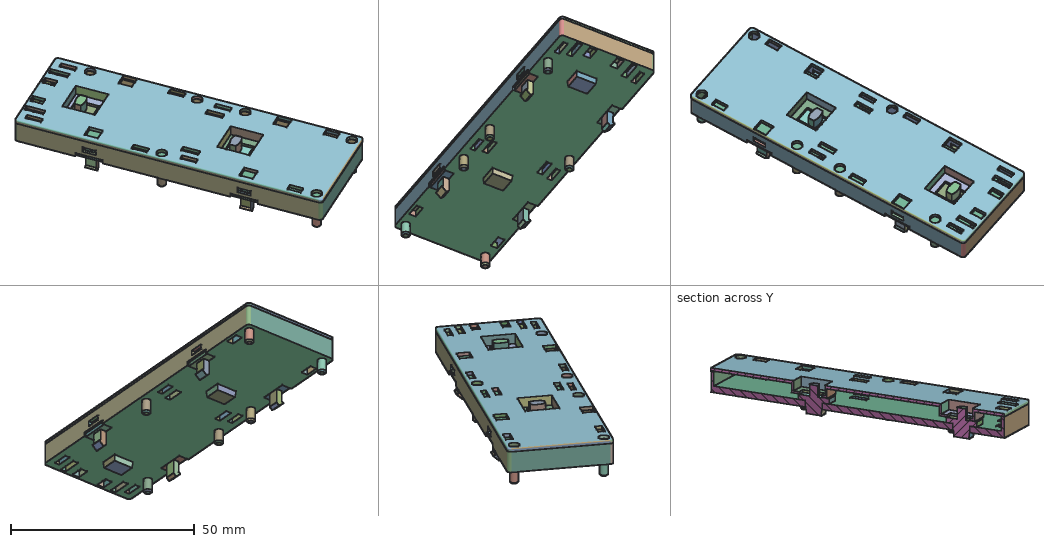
import cadquery as cq

LENGTH = 90.6
WIDTH = 29.6
OVERALL_HEIGHT = 12.1
HEIGHT = 7.1
CORNER_RADIUS = 1.0
WALL = 1.0
LID_THICKNESS = 1.0
LID_EDGE_FILLET = 0.3
FLOOR_THICKNESS = 2.0
BASE_HEIGHT = HEIGHT - LID_THICKNESS
LID_OVERHANG = 0.1
BASE_LENGTH = LENGTH - LID_OVERHANG
BASE_X = -LID_OVERHANG / 2
INNER_LENGTH = BASE_LENGTH - 2 * WALL
INNER_WIDTH = WIDTH - 2 * WALL
SIDES = (-1, 1)

STATION_PITCH = 45.6
STATIONS = (0, STATION_PITCH)
MECHANISM_Y = 0.5

EDGE_SLOT_LENGTH = 4.6
EDGE_SLOT_WIDTH = 1.45
EDGE_SLOT_X = -40.6
EDGE_SLOT_Y = 12.05
INNER_SLOT_WIDTH = 1.6
INNER_SLOT_Y = 8.6
INNER_SLOT_END_X = -39.05
END_INNER_SLOT_LENGTH = 5.5
MIDDLE_INNER_SLOT_LENGTH = 5.0
END_SLOT_LENGTH = 3.6
END_SLOT_WIDTH = 2.2
END_SLOT_X = -42.8
END_SLOT_Y = 4.3
CORNER_SLOT_LENGTH = 4.0
CORNER_SLOT_WIDTH = 2.0
CORNER_SLOT_X = 36.6
BLIND_SLOT_LENGTH = 4.5
BLIND_SLOT_WIDTH = 1.7
BLIND_SLOT_X = -9.0

PIN_DIAMETER = 2.45
PIN_LENGTH = 4.1
PIN_CHAMFER = 0.45
PIN_HOLE_DIAMETER = 3.0
PIN_Y = 12.5
STATION_PIN_X = -34.25
PAIRED_PIN_X = -2.8

CLIP_X = -23.3
CLIP_WIDTH = 3.1
CLIP_FOOT_LENGTH = 8.1
CLIP_FOOT_HEIGHT = 1.2
CLIP_FOOT_DEPTH = 0.5
CLIP_OUTER_DEPTH = 1.4
CLIP_INNER_DEPTH = 3.2
HOOK_TIP_DEPTH = 0.8
HOOK_APEX_DEPTH = 2.4
HOOK_TOP_Z = -3.3
HOOK_TIP_Z = -3.7
HOOK_APEX_Z = HEIGHT - OVERALL_HEIGHT
WINDOW_LENGTH = 4.0
WINDOW_BOTTOM = 2.3
WINDOW_HEIGHT = 1.5
ACCESS_LENGTH = 4.0
ACCESS_WIDTH = 3.6
ACCESS_Y = 12.05

WELL_X = -30.7
WELL_SIZE = 9.6
WELL_DEPTH = 2.9
WELL_WALL = 0.7
WELL_SLOT_X = -31.1
WELL_SLOT_LENGTH = 6.7
WELL_SLOT_WIDTH = 4.9
WELL_FLOOR_Z = HEIGHT - WELL_DEPTH
WELL_BOTTOM_Z = WELL_FLOOR_Z - WELL_WALL

SLIDER_X = -32.1
KNOB_WIDTH = 4.3
KNOB_END_LENGTH = 1.8
KNOB_LENGTH = 2.8
KNOB_TOP_Z = 6.7
FLANGE_LENGTH = 9.6
FLANGE_WIDTH = 8.0
GRIP_LENGTH = 5.1
GRIP_WIDTH = 6.3
GRIP_DROP = 1.8
GRIP_TAPER = 6.0


def block(x, y, z_bottom, length, width, height):
    """Box centred on (x, y) that stands on z_bottom."""
    return cq.Workplane("XY").box(length, width, height, (True, True, False)).translate((x, y, z_bottom))


def cylinders(points, z_bottom, diameter, height):
    return cq.Workplane("XY", origin=(0, 0, z_bottom)).pushPoints(points).circle(diameter / 2).extrude(height)


def pin_points():
    """One pin per station at +Y, and a pair of pins at the far end of each station."""
    points = []
    for station in STATIONS:
        points.append((station + STATION_PIN_X, PIN_Y))
        points += [(station + PAIRED_PIN_X, side * PIN_Y) for side in SIDES]
    return points


def slots(z_bottom, height):
    """Cutters for the slots that pass through both the lid and the base floor."""
    corner_slot_y = (INNER_WIDTH - CORNER_SLOT_WIDTH) / 2
    end_inner_x = INNER_SLOT_END_X - END_INNER_SLOT_LENGTH / 2
    middle_inner_x = INNER_SLOT_END_X + STATION_PITCH - MIDDLE_INNER_SLOT_LENGTH / 2
    plan = [
        (EDGE_SLOT_X, EDGE_SLOT_Y, EDGE_SLOT_LENGTH, EDGE_SLOT_WIDTH),
        (EDGE_SLOT_X + STATION_PITCH, EDGE_SLOT_Y, EDGE_SLOT_LENGTH, EDGE_SLOT_WIDTH),
        (end_inner_x, INNER_SLOT_Y, END_INNER_SLOT_LENGTH, INNER_SLOT_WIDTH),
        (middle_inner_x, INNER_SLOT_Y, MIDDLE_INNER_SLOT_LENGTH, INNER_SLOT_WIDTH),
        (END_SLOT_X, END_SLOT_Y, END_SLOT_LENGTH, END_SLOT_WIDTH),
        (CORNER_SLOT_X, corner_slot_y, CORNER_SLOT_LENGTH, CORNER_SLOT_WIDTH),
    ]
    cutters = cq.Workplane("XY")
    for x, y, length, width in plan:
        for side in SIDES:
            cutters = cutters.add(block(x, side * y, z_bottom, length, width, height))
    return cutters.combine()


def make_lid():
    lid = block(0, 0, BASE_HEIGHT, LENGTH, WIDTH, LID_THICKNESS)
    lid = lid.edges("|Z").fillet(CORNER_RADIUS).faces(">Z").edges().fillet(LID_EDGE_FILLET)
    lid = lid.cut(slots(BASE_HEIGHT, LID_THICKNESS))
    lid = lid.cut(cylinders(pin_points(), BASE_HEIGHT, PIN_HOLE_DIAMETER, LID_THICKNESS))

    for side in SIDES:
        blind_y = side * (INNER_WIDTH - BLIND_SLOT_WIDTH) / 2
        lid = lid.cut(
            block(BLIND_SLOT_X, blind_y, BASE_HEIGHT, BLIND_SLOT_LENGTH, BLIND_SLOT_WIDTH, LID_THICKNESS)
        )
        for station in STATIONS:
            access_y = MECHANISM_Y + side * ACCESS_Y
            lid = lid.cut(
                block(station + CLIP_X, access_y, BASE_HEIGHT, ACCESS_LENGTH, ACCESS_WIDTH, LID_THICKNESS)
            )

    outer_size = WELL_SIZE + 2 * WELL_WALL
    for station in STATIONS:
        well_x = station + WELL_X
        slot_x = station + WELL_SLOT_X
        lid = lid.union(
            block(well_x, MECHANISM_Y, WELL_BOTTOM_Z, outer_size, outer_size, BASE_HEIGHT - WELL_BOTTOM_Z)
        )
        lid = lid.cut(block(well_x, MECHANISM_Y, WELL_FLOOR_Z, WELL_SIZE, WELL_SIZE, WELL_DEPTH))
        lid = lid.cut(
            block(slot_x, MECHANISM_Y, WELL_BOTTOM_Z, WELL_SLOT_LENGTH, WELL_SLOT_WIDTH, WELL_WALL)
        )
    return lid


def make_base():
    base = block(BASE_X, 0, 0, BASE_LENGTH, WIDTH, BASE_HEIGHT).edges("|Z").fillet(CORNER_RADIUS)
    cavity = block(BASE_X, 0, FLOOR_THICKNESS, INNER_LENGTH, INNER_WIDTH, BASE_HEIGHT - FLOOR_THICKNESS)
    base = base.cut(cavity)
    base = base.cut(slots(0, FLOOR_THICKNESS))

    pins = cylinders(pin_points(), -PIN_LENGTH, PIN_DIAMETER, PIN_LENGTH)
    base = base.union(pins.faces("<Z").chamfer(PIN_CHAMFER))

    for station in STATIONS:
        clip_x = station + CLIP_X
        base = base.cut(block(clip_x, 0, WINDOW_BOTTOM, WINDOW_LENGTH, WIDTH, WINDOW_HEIGHT))
        for side in SIDES:
            notch_y = side * (WIDTH - CLIP_INNER_DEPTH) / 2
            base = base.cut(block(clip_x, notch_y, 0, CLIP_FOOT_LENGTH, CLIP_INNER_DEPTH, CLIP_FOOT_HEIGHT))
        base = base.cut(
            block(station + SLIDER_X, MECHANISM_Y, 0, GRIP_LENGTH, GRIP_WIDTH, FLOOR_THICKNESS)
        )
    return base


def make_clip(x, side):
    """Foot that fills the notch in the base, with a hooked leg below it that faces outwards."""
    outer_y = -WIDTH / 2
    foot_depth = CLIP_INNER_DEPTH - CLIP_FOOT_DEPTH
    foot_y = outer_y + (CLIP_FOOT_DEPTH + CLIP_INNER_DEPTH) / 2
    foot = block(0, foot_y, 0, CLIP_FOOT_LENGTH, foot_depth, CLIP_FOOT_HEIGHT)

    inner_z = HOOK_APEX_Z + CLIP_INNER_DEPTH - HOOK_APEX_DEPTH
    leg_outline = [
        (outer_y + CLIP_INNER_DEPTH, 0),
        (outer_y + CLIP_OUTER_DEPTH, 0),
        (outer_y + CLIP_OUTER_DEPTH, HOOK_TOP_Z),
        (outer_y + HOOK_TIP_DEPTH, HOOK_TIP_Z),
        (outer_y + HOOK_APEX_DEPTH, HOOK_APEX_Z),
        (outer_y + CLIP_INNER_DEPTH, inner_z),
    ]
    leg = cq.Workplane("YZ").polyline(leg_outline).close().extrude(CLIP_WIDTH / 2, both=True)
    clip = foot.union(leg)
    if side > 0:
        clip = clip.mirror("XZ")
    return clip.translate((x, 0, 0))


def make_slider(x):
    """Knob with bowed sides, a flange under the well and a tapered grip through the base."""
    half_width = KNOB_WIDTH / 2
    half_end = KNOB_END_LENGTH / 2
    bow = KNOB_LENGTH / 2
    knob = (
        cq.Workplane("XY", origin=(0, 0, FLOOR_THICKNESS))
        .moveTo(-half_end, half_width)
        .lineTo(half_end, half_width)
        .threePointArc((bow, 0), (half_end, -half_width))
        .lineTo(-half_end, -half_width)
        .threePointArc((-bow, 0), (-half_end, half_width))
        .close()
        .extrude(KNOB_TOP_Z - FLOOR_THICKNESS)
    )
    flange = block(0, 0, FLOOR_THICKNESS, FLANGE_LENGTH, FLANGE_WIDTH, WELL_BOTTOM_Z - FLOOR_THICKNESS)
    neck = block(0, 0, 0, GRIP_LENGTH, GRIP_WIDTH, FLOOR_THICKNESS)
    grip = cq.Workplane("XY").rect(GRIP_LENGTH, GRIP_WIDTH).extrude(-GRIP_DROP, taper=GRIP_TAPER)
    return knob.union(flange).union(neck).union(grip).translate((x, MECHANISM_Y, 0))


lid = make_lid()
base = make_base()
clips = [make_clip(station + CLIP_X, side) for station in STATIONS for side in SIDES]
sliders = [make_slider(station + SLIDER_X) for station in STATIONS]

result = cq.Compound.makeCompound(
    [lid.val(), base.val(), *[clip.val() for clip in clips], *[slider.val() for slider in sliders]]
)